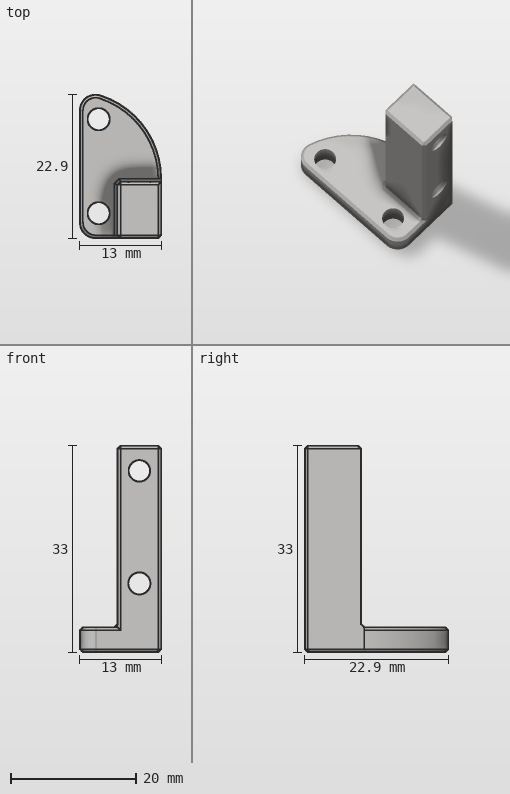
import cadquery as cq
import math

width = 13.0
depth = 22.95
height = 33.0

base_thickness = 4.0
corner_radius = 2.5
arc_radius = 14.0
edge_chamfer = 0.5

column_width = 7.0
column_depth = 9.0
column_left = width - column_width

base_hole_diameter = 3.5
base_hole_x = 3.0
base_hole_front_y = 4.0
base_hole_spacing = 15.0
column_hole_low_diameter = 3.5
column_hole_high_diameter = 3.4
column_hole_x = column_left + column_width / 2
column_hole_low_z = 11.0
column_hole_spacing = 18.0

arc_center_x = width - arc_radius
corner_center_x = corner_radius
corner_center_y = depth - corner_radius
center_distance = arc_radius - corner_radius
center_offset_x = corner_center_x - arc_center_x
arc_center_y = corner_center_y - math.sqrt(center_distance**2 - center_offset_x**2)
tangent_angle = math.atan2(corner_center_y - arc_center_y, center_offset_x)


def point_on_circle(center_x, center_y, radius, angle):
    return (center_x + radius * math.cos(angle), center_y + radius * math.sin(angle))


def make_base():
    arc_end = point_on_circle(arc_center_x, arc_center_y, arc_radius, tangent_angle)
    arc_middle = point_on_circle(arc_center_x, arc_center_y, arc_radius, tangent_angle / 2)
    rear_corner_middle = point_on_circle(
        corner_center_x, corner_center_y, corner_radius, (tangent_angle + math.pi) / 2
    )
    front_corner_middle = point_on_circle(
        corner_radius, corner_radius, corner_radius, math.radians(225)
    )
    return (
        cq.Workplane("XY")
        .moveTo(corner_radius, 0)
        .lineTo(width - edge_chamfer, 0)
        .lineTo(width, edge_chamfer)
        .lineTo(width, arc_center_y)
        .threePointArc(arc_middle, arc_end)
        .threePointArc(rear_corner_middle, (0, corner_center_y))
        .lineTo(0, corner_radius)
        .threePointArc(front_corner_middle, (corner_radius, 0))
        .close()
        .extrude(base_thickness)
        .faces("<Z or >Z")
        .chamfer(edge_chamfer)
    )


def make_column():
    column = cq.Workplane("XY").box(
        column_width, column_depth, height - edge_chamfer, centered=False
    ).translate((column_left, 0, edge_chamfer))
    upright_edges = column.edges("|Z").edges("<X or <Y")
    top_edges = column.faces(">Z").edges()
    return upright_edges.add(top_edges).chamfer(edge_chamfer)


def column_foot_outline(margin, z):
    left = column_left - margin
    rear = column_depth + margin
    corner_cut = edge_chamfer + margin * (2 - math.sqrt(2))
    return (
        cq.Workplane("XY", origin=(0, 0, z))
        .moveTo(left, edge_chamfer)
        .lineTo(width, edge_chamfer)
        .lineTo(width, rear)
        .lineTo(left + corner_cut, rear)
        .lineTo(left, rear - corner_cut)
        .close()
    )


def make_column_foot():
    sunk = column_foot_outline(edge_chamfer, edge_chamfer).extrude(base_thickness - edge_chamfer)
    bottom_wire = column_foot_outline(edge_chamfer, base_thickness).val()
    top_wire = column_foot_outline(0, base_thickness + edge_chamfer).val()
    slope = cq.Workplane(cq.Solid.makeLoft([bottom_wire, top_wire], True))
    return sunk.union(slope)


def make_base_holes():
    return (
        cq.Workplane("XY")
        .pushPoints([(base_hole_x, base_hole_front_y + i * base_hole_spacing) for i in range(2)])
        .circle(base_hole_diameter / 2)
        .extrude(base_thickness)
    )


def make_column_hole(z, diameter):
    return (
        cq.Workplane("XZ")
        .center(column_hole_x, z)
        .circle(diameter / 2)
        .extrude(-column_depth)
    )


body = make_base().union(make_column()).union(make_column_foot())
result = (
    body.cut(make_base_holes())
    .cut(make_column_hole(column_hole_low_z, column_hole_low_diameter))
    .cut(make_column_hole(column_hole_low_z + column_hole_spacing, column_hole_high_diameter))
)